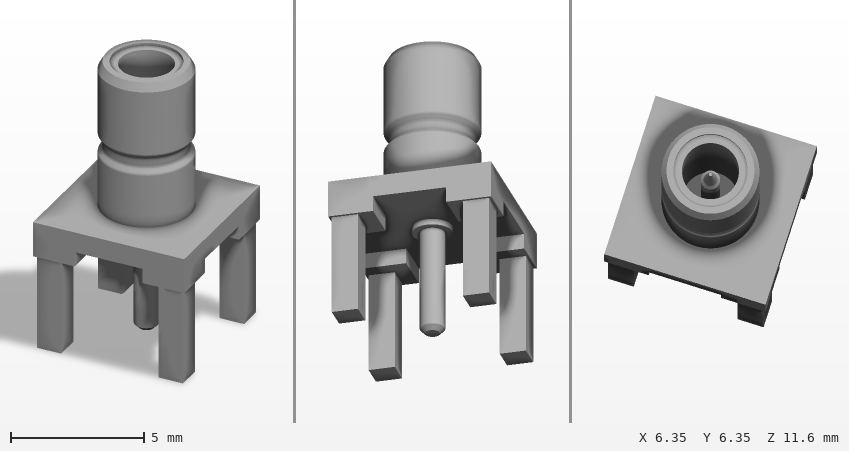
import cadquery as cq
import math


flange_width = 6.35
overall_height = 11.56

leg_length = 3.96
flange_top = 5.42
foot_height = 0.61
recess_floor = leg_length + foot_height

foot_width = 1.75
leg_width = 1.02
leg_inset = 0.11
leg_pitch = flange_width - 2 * leg_inset - leg_width

barrel_radius = 1.84
mouth_chamfer_angle = 30
mouth_chamfer_height = 0.33
mouth_chamfer_inset = mouth_chamfer_height * math.tan(math.radians(mouth_chamfer_angle))

groove_center = 8.10
groove_depth = 0.19
groove_root_width = 0.36
groove_flank_angle = 40
groove_fillet = 0.12
groove_flank_height = groove_depth / math.tan(math.radians(groove_flank_angle))
groove_mouth_width = groove_root_width + 2 * groove_flank_height

counterbore_radius = 1.39
counterbore_depth = 0.12
bore_radius = 1.07
bore_floor = flange_top

contact_radius = 0.365
contact_tip = 10.75
contact_taper_radius = 0.26
contact_taper_height = 0.17
contact_tip_radius = 0.06
contact_cone_height = 1.0

collar_radius = 0.765
collar_height = 0.23
collar_bottom = recess_floor - collar_height
pin_radius = 0.48
pin_end = 0.15
pin_chamfer = 0.19


def cylinder(radius, bottom, top):
    return cq.Workplane("XY").workplane(offset=bottom).circle(radius).extrude(top - bottom)


def make_flange():
    """Square flange with a cross-shaped recess that leaves a foot at each corner."""
    flange = (
        cq.Workplane("XY")
        .workplane(offset=leg_length)
        .rect(flange_width, flange_width)
        .extrude(flange_top - leg_length)
    )
    channel_width = flange_width - 2 * foot_width
    channels = cq.Workplane("XY").workplane(offset=leg_length)
    along_x = channels.rect(flange_width, channel_width).extrude(foot_height)
    along_y = channels.rect(channel_width, flange_width).extrude(foot_height)
    return flange.cut(along_x).cut(along_y)


def make_legs():
    """Four square legs, run up to the recess floor so that they join the feet."""
    return (
        cq.Workplane("XY")
        .rarray(leg_pitch, leg_pitch, 2, 2)
        .rect(leg_width, leg_width)
        .extrude(recess_floor)
    )


def make_barrel():
    """Turned barrel with a chamfered mouth and a snap groove with rounded edges."""
    root_radius = barrel_radius - groove_depth
    barrel = (
        cq.Workplane("XZ")
        .moveTo(0, flange_top)
        .lineTo(barrel_radius, flange_top)
        .lineTo(barrel_radius, groove_center - groove_mouth_width / 2)
        .lineTo(root_radius, groove_center - groove_root_width / 2)
        .lineTo(root_radius, groove_center + groove_root_width / 2)
        .lineTo(barrel_radius, groove_center + groove_mouth_width / 2)
        .lineTo(barrel_radius, overall_height - mouth_chamfer_height)
        .lineTo(barrel_radius - mouth_chamfer_inset, overall_height)
        .lineTo(0, overall_height)
        .close()
        .revolve(360, (0, 0, 0), (0, 1, 0))
    )
    groove_zone = cq.selectors.BoxSelector(
        (-barrel_radius, -barrel_radius, groove_center - groove_mouth_width),
        (barrel_radius, barrel_radius, groove_center + groove_mouth_width),
    )
    return barrel.edges("%CIRCLE").edges(groove_zone).fillet(groove_fillet)


def make_bore():
    """Bore with a shallow counterbore at the mouth."""
    counterbore = cylinder(counterbore_radius, overall_height - counterbore_depth, overall_height)
    return cylinder(bore_radius, bore_floor, overall_height).union(counterbore)


def make_contact():
    """Center contact with a short taper, then a slender cone ending in a small flat."""
    cone_base = contact_tip - contact_cone_height
    return (
        cq.Workplane("XZ")
        .moveTo(0, bore_floor)
        .lineTo(contact_radius, bore_floor)
        .lineTo(contact_radius, cone_base - contact_taper_height)
        .lineTo(contact_taper_radius, cone_base)
        .lineTo(contact_tip_radius, contact_tip)
        .lineTo(0, contact_tip)
        .close()
        .revolve(360, (0, 0, 0), (0, 1, 0))
    )


def make_solder_pin():
    """Insulator collar under the flange and the chamfered pin below it."""
    pin = cylinder(pin_radius, pin_end, recess_floor).faces("<Z").chamfer(pin_chamfer)
    return pin.union(cylinder(collar_radius, collar_bottom, recess_floor))


housing = make_flange().union(make_legs()).union(make_barrel()).cut(make_bore())
result = housing.union(make_contact()).union(make_solder_pin())